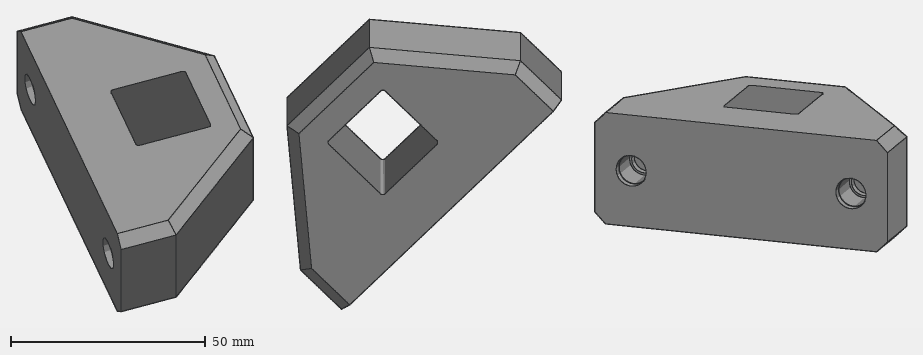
import cadquery as cq

length = 80.0
depth = 45.0
height = length * 3 / 8
back_width = height
shoulder_depth = depth / 3
edge_chamfer = height / 10

window_size = 20.4
window_center_y = 25.0
window_corner_radius = 0.8

hole_spacing = 60.0
hole_steps = [
    (8.2, 2.0),
    (7.9, 10.0),
    (6.8, 12.0),
]


def make_block():
    """Extrude the outline and chamfer its top and bottom rims, except along the base."""
    outline = [
        (-length / 2, 0),
        (length / 2, 0),
        (length / 2, shoulder_depth),
        (back_width / 2, depth),
        (-back_width / 2, depth),
        (-length / 2, shoulder_depth),
    ]
    block = cq.Workplane("XY").polyline(outline).close().extrude(height / 2, both=True)
    base_edges = cq.selectors.BoxSelector(
        (-length, -edge_chamfer, -height), (length, edge_chamfer, height)
    )
    level_edges = cq.selectors.PerpendicularDirSelector(cq.Vector(0, 0, 1))
    rim_edges = cq.selectors.SubtractSelector(level_edges, base_edges)
    return block.edges(rim_edges).chamfer(edge_chamfer)


def make_window():
    return (
        cq.Workplane("XY")
        .center(0, window_center_y)
        .rect(window_size, window_size)
        .extrude(height / 2, both=True)
        .edges("|Z")
        .fillet(window_corner_radius)
    )


def make_hole(center_x):
    """Stack coaxial cylinders running from the base face into the block along +Y."""
    base_face = cq.Workplane("XZ", origin=(center_x, 0, 0))
    hole = cq.Workplane("XZ")
    for diameter, step_depth in hole_steps:
        hole = hole.union(base_face.circle(diameter / 2).extrude(-step_depth))
    return hole


result = make_block().cut(make_window())
for side in (-1, 1):
    result = result.cut(make_hole(side * hole_spacing / 2))